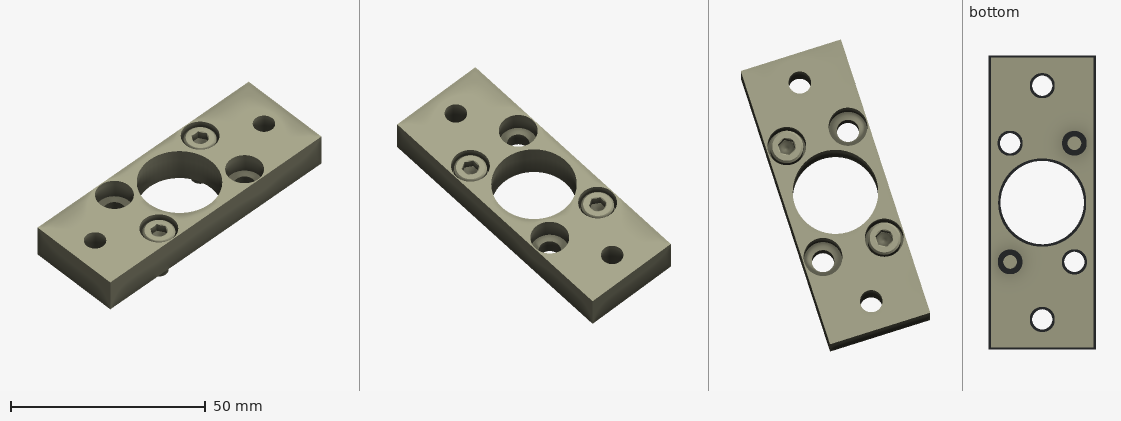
import cadquery as cq
import math

plate_width = 27.0
plate_length = 75.0
plate_thickness = 10.0
bore_diameter = 22.0
hole_diameter = 5.8
end_hole_spacing = 60.0

screw_spacing_x = 16.5
screw_spacing_y = 30.45
counterbore_diameter = 10.0
counterbore_depth = 5.7

shank_diameter = 5.0
shank_protrusion = 5.7
tip_chamfer = 0.45
head_diameter = 8.5
head_height = 5.0
head_chamfer = 0.5
socket_across_flats = 4.0
socket_depth = 2.5
socket_mouth_depth = 0.2
socket_rotation = 30.0
socket_cone_angle = 120.0

seat_height = plate_thickness - counterbore_depth
head_top = seat_height + head_height
half_x = screw_spacing_x / 2
half_y = screw_spacing_y / 2
end_hole_y = end_hole_spacing / 2

filled_positions = [(-half_x, half_y), (half_x, -half_y)]
empty_positions = [(half_x, half_y), (-half_x, -half_y)]


def make_plate():
    """Plate with central bore, two end holes and four counterbored holes."""
    blank = cq.Workplane("XY").box(
        plate_width, plate_length, plate_thickness, centered=(True, True, False)
    )
    bored = blank.faces(">Z").workplane(origin=(0, 0, plate_thickness)).hole(bore_diameter)
    drilled = (
        bored.faces(">Z").workplane(origin=(0, 0, plate_thickness))
        .pushPoints([(0, end_hole_y), (0, -end_hole_y)])
        .hole(hole_diameter)
    )
    return (
        drilled.faces(">Z").workplane(origin=(0, 0, plate_thickness))
        .pushPoints(filled_positions + empty_positions)
        .cboreHole(hole_diameter, counterbore_diameter, counterbore_depth)
    )


def make_socket():
    """Hexagonal socket with a conical lead-in at its mouth and a drilled cone below its floor."""
    across_corners = socket_across_flats / math.cos(math.radians(30))
    floor_height = head_top - socket_depth
    cone_radius = socket_across_flats / 2
    cone_depth = cone_radius / math.tan(math.radians(socket_cone_angle / 2))
    hexagon = (
        cq.Workplane("XY", origin=(0, 0, floor_height))
        .polygon(6, across_corners)
        .extrude(socket_depth)
        .rotate((0, 0, 0), (0, 0, 1), socket_rotation)
    )
    cone = cq.Workplane("XY").add(
        cq.Solid.makeCone(0, cone_radius, cone_depth, pnt=cq.Vector(0, 0, floor_height - cone_depth))
    )
    mouth = cq.Workplane("XY").add(
        cq.Solid.makeCone(
            cone_radius,
            across_corners / 2,
            socket_mouth_depth,
            pnt=cq.Vector(0, 0, head_top - socket_mouth_depth),
        )
    )
    return hexagon.union(cone).union(mouth)


def make_screw(x, y):
    """Cap screw seated on the counterbore floor at (x, y)."""
    shank = (
        cq.Workplane("XY", origin=(0, 0, -shank_protrusion))
        .circle(shank_diameter / 2)
        .extrude(seat_height + shank_protrusion)
        .faces("<Z").chamfer(tip_chamfer)
    )
    head = (
        cq.Workplane("XY", origin=(0, 0, seat_height))
        .circle(head_diameter / 2)
        .extrude(head_height)
        .faces(">Z").edges().chamfer(head_chamfer)
    )
    return shank.union(head).cut(make_socket()).translate((x, y, 0))


plate = make_plate()
screws = [make_screw(x, y) for x, y in filled_positions]

result = cq.Compound.makeCompound([plate.val(), *[screw.val() for screw in screws]])